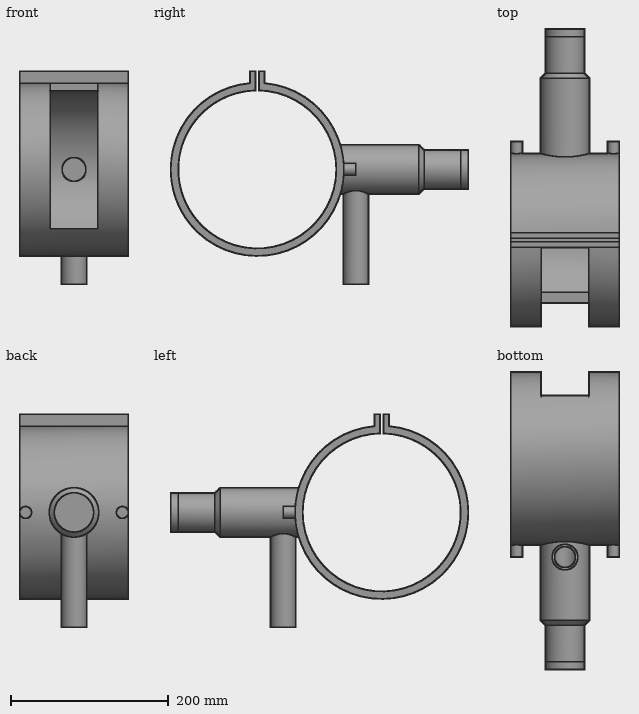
import cadquery as cq

ring_width = 138.0
ring_outer_radius = 110.0
ring_inner_radius = 100.0

split_gap = 4.0
ear_thickness = 7.0
ear_top = 124.5
ear_front = split_gap / 2 + ear_thickness

window_width = 60.5
window_bottom = -75.0
window_back = -10.0

overall_length = 377.8
pipe_end = overall_length - ring_outer_radius
pipe_radius = 31.5
spigot_radius = 25.0
pipe_bore_radius = 15.0
shoulder_end = 211.5
shoulder_chamfer = pipe_radius - spigot_radius
cap_thickness = 10.0
spigot_end = pipe_end - cap_thickness

overall_height = 270.5
branch_y = 125.0
branch_radius = 16.2
branch_bore_radius = 13.2
branch_bottom = ear_top - overall_height

peg_radius = 7.5
peg_length = 15.0
peg_x = ring_width / 2 - peg_radius


def rod_along_x(radius, length):
    return cq.Workplane("YZ").circle(radius).extrude(length / 2, both=True)


def rod_along_y(radius, start, end, x=0):
    plane = cq.Plane(origin=(x, start, 0), xDir=(1, 0, 0), normal=(0, 1, 0))
    return cq.Workplane(plane).circle(radius).extrude(end - start)


def branch_rod(radius):
    """Vertical rod from the pipe axis down to the open end of the branch."""
    return cq.Workplane("XY").center(0, branch_y).circle(radius).extrude(branch_bottom)


def make_ear_block():
    """Block that becomes both ears once the split is cut."""
    return cq.Workplane("XY").box(ring_width, 2 * ear_front, ear_top, centered=(True, True, False))


def make_split():
    return cq.Workplane("XY").box(ring_width, split_gap, ear_top, centered=(True, True, False))


def make_window():
    depth = ring_outer_radius + window_back
    height = ring_outer_radius - window_bottom
    return (
        cq.Workplane("XY")
        .box(window_width, depth, height, centered=(True, False, False))
        .translate((0, -ring_outer_radius, window_bottom))
    )


def make_stepped_pipe():
    """Wide pipe with a chamfered shoulder, and the narrower spigot behind it."""
    wide_pipe = rod_along_y(pipe_radius, 0, shoulder_end).faces(">Y").chamfer(shoulder_chamfer)
    return wide_pipe.union(rod_along_y(spigot_radius, 0, spigot_end))


def make_clamp():
    body = rod_along_x(ring_outer_radius, ring_width)
    body = body.union(make_ear_block()).union(make_stepped_pipe()).union(branch_rod(branch_radius))
    for x in (-peg_x, peg_x):
        body = body.union(rod_along_y(peg_radius, 0, ring_outer_radius + peg_length, x))
    body = body.cut(rod_along_x(ring_inner_radius, ring_width))
    body = body.cut(make_split()).cut(make_window())
    body = body.cut(rod_along_y(pipe_bore_radius, 0, spigot_end))
    return body.cut(branch_rod(branch_bore_radius))


def make_end_cap():
    """Disc that closes the far end of the pipe bore."""
    return rod_along_y(spigot_radius, spigot_end, pipe_end)


clamp = make_clamp().solids()
end_cap = make_end_cap()

result = cq.Compound.makeCompound([clamp.val(), end_cap.val()])